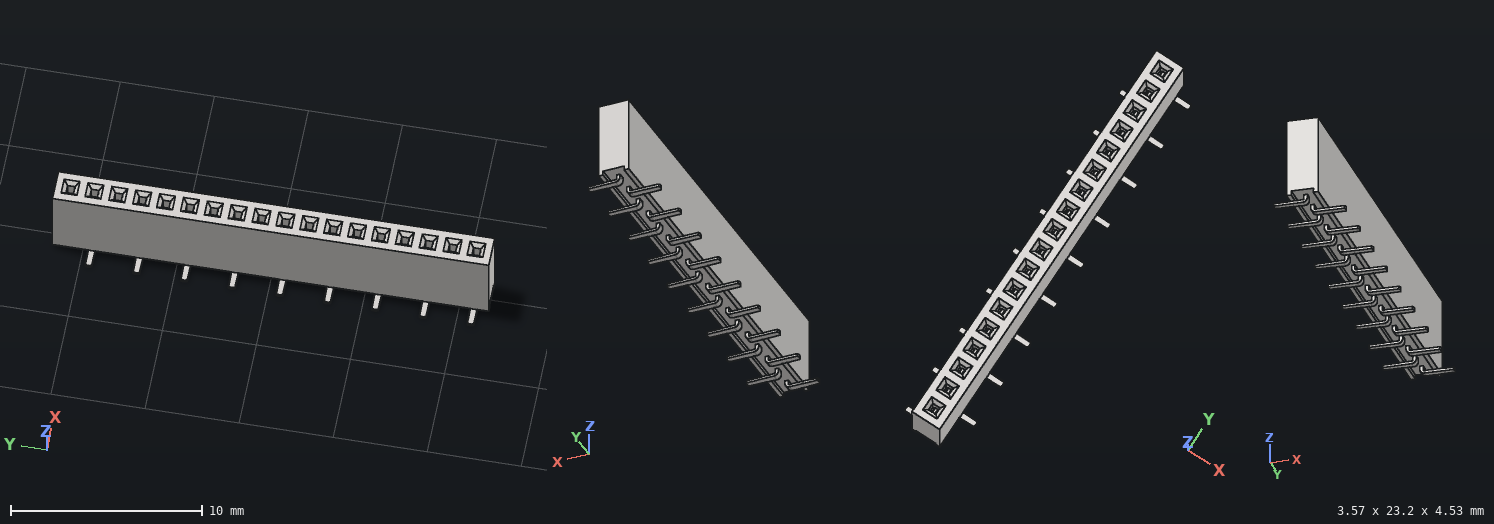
import cadquery as cq

contact_count = 18
pitch = 1.27
body_length = 23.2
body_width = 1.75
top_z = 4.53
standoff = 0.2
channel_width = 1.2
channel_depth = 0.23

socket_mouth_x = 0.88
socket_mouth_y = 0.84
funnel_depth = 0.22
bore_x = socket_mouth_x - 2 * funnel_depth
bore_y = socket_mouth_y - 2 * funnel_depth
socket_depth = 1.15
blade_protrusion = 0.23

contact_span = 3.57
stem_thickness = 0.19
leg_thickness = 0.15
blade_width = bore_y
tip_width = 0.35
bend_inner_radius = 0.07
bend_outer_radius = bend_inner_radius + stem_thickness
tip_bulge = 0.058

tip_x = contact_span / 2
stem_half = stem_thickness / 2
socket_floor = top_z - socket_depth
stem_top = socket_floor + blade_protrusion
bend_x = bend_outer_radius - stem_half


def make_housing():
    """Block with a channel along the underside, leaving a foot on each long side."""
    height = top_z - standoff
    block = cq.Workplane("XY", origin=(0, 0, standoff)).box(
        body_width, body_length, height, centered=(True, True, False)
    )
    channel = cq.Workplane("XY", origin=(0, 0, standoff)).box(
        channel_width, body_length, channel_depth, centered=(True, True, False)
    )
    return block.cut(channel)


def make_socket(y):
    """Tapered lead-in above a rectangular bore."""
    funnel = (
        cq.Workplane("XY", origin=(0, y, top_z))
        .rect(socket_mouth_x, socket_mouth_y)
        .workplane(offset=-funnel_depth)
        .rect(bore_x, bore_y)
        .loft(ruled=True)
    )
    bore = cq.Workplane("XY", origin=(0, y, socket_floor)).box(
        bore_x, bore_y, socket_depth - funnel_depth, centered=(True, True, False)
    )
    return funnel.union(bore)


def make_contact(y, side):
    """Upright blade bent into a flat leg that points along +X (side 1) or -X (side -1)."""
    profile = (
        cq.Workplane("XZ")
        .moveTo(-side * stem_half, stem_top)
        .lineTo(-side * stem_half, bend_outer_radius)
        .radiusArc((side * bend_x, 0), -side * bend_outer_radius)
        .lineTo(side * tip_x, 0)
        .lineTo(side * tip_x, leg_thickness)
        .lineTo(side * bend_x, leg_thickness)
        .radiusArc((side * stem_half, leg_thickness + bend_inner_radius), side * bend_inner_radius)
        .lineTo(side * stem_half, stem_top)
        .close()
        .extrude(blade_width / 2, both=True)
    )
    outline = (
        cq.Workplane("XY")
        .moveTo(-side * stem_half, -blade_width / 2)
        .lineTo(side * bend_x, -blade_width / 2)
        .lineTo(side * (tip_x - tip_bulge), -tip_width / 2)
        .threePointArc((side * tip_x, 0), (side * (tip_x - tip_bulge), tip_width / 2))
        .lineTo(side * bend_x, blade_width / 2)
        .lineTo(-side * stem_half, blade_width / 2)
        .close()
        .extrude(stem_top)
    )
    return profile.intersect(outline).translate((0, y, 0))


result = make_housing()
first_y = -pitch * (contact_count - 1) / 2
contact_ys = [first_y + pitch * index for index in range(contact_count)]

for y in contact_ys:
    result = result.cut(make_socket(y))

for index, y in enumerate(contact_ys):
    side = -1 if index % 2 == 0 else 1
    result = result.union(make_contact(y, side))